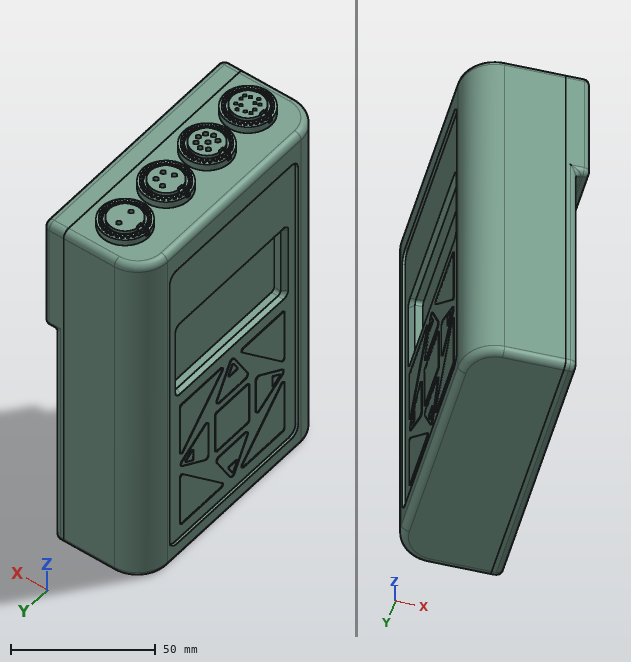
import cadquery as cq
import math


case_width = 101.2
case_height = 153.5
split_x = 35.1
front_corner_radius = 13.1
end_fillet = 2.8

grip_back_x = 39.2
head_back_x = 44.0
step_z = 103.0
step_inner_radius = 1.7
head_fillet = 2.4
grip_fillet = 2.5

panel_gap = 0.3
pocket_width = 72.0
pocket_bottom_z = 7.5
pocket_top_z = 142.1
pocket_corner_radius = 4.0
panel_recess = 1.0
panel_thickness = 7.1
pocket_height = pocket_top_z - pocket_bottom_z
pocket_center_z = (pocket_top_z + pocket_bottom_z) / 2
pocket_depth = panel_recess + panel_thickness

window_width = 59.5
window_height = 32.6
window_center_z = 95.7
window_corner_radius = 1.4
window_depth = 4.7
window_bevel_depth = 1.9
window_bevel_side = 1.9
window_bevel_end = 1.1

keypad_center_z = 43.3
button_raise = 0.3
square_size = 19.0
square_radius = 1.0
corner_reach = 29.3
corner_leg = 25.4
corner_radius = 1.0
arrow_base = 13.2
arrow_half_width = 9.8
arrow_length = 17.0
arrow_radius = 1.4
mark_base = 22.2
mark_half_width = 2.8
mark_length = 4.9
mark_radius = 0.5
quarter_turns = [0, 90, 180, 270]

connector_x = 20.8
connector_pitch = 23.0
flange_radius = 10.1
flange_height = 3.0
rim_radius = 9.1
rim_height = 3.6
rim_inner_radius = 7.9
groove_depth = 1.0
insert_radius = 6.8
insert_height = 4.1
key_width = 2.2
key_depth = 0.8
tooth_count = 28
tooth_gap_width = 1.0
tooth_gap_depth = 0.8
mark_notch_width = 1.7
mark_notch_depth = 0.5
mark_notch_height = 1.3
contact_depth = 2.4
low_connector_drop = 0.3


def polar_points(radius, angles):
    """Points on a circle, with angles in degrees from +X."""
    return [(radius * math.cos(math.radians(a)), radius * math.sin(math.radians(a))) for a in angles]


def opposite_pairs(points):
    """The points together with their mirror images through the origin."""
    return points + [(-x, -y) for x, y in points]


connectors = [
    (polar_points(3.5, [90, -90]), 1.0, low_connector_drop),
    (polar_points(3.5, [108, 36, -36, -108]), 1.0, 0),
    ([(-0.5, 0)] + polar_points(3.8, range(-135, 136, 45)), 1.0, 0),
    (
        opposite_pairs([(-3.5, 2.7), (-1.4, 3.3), (1.4, 4.3), (3.5, 2.4), (1.5, 1.9), (3.5, -0.6)]),
        0.6,
        0,
    ),
]


def facing_front(x):
    """Workplane at the given X, drawn in (-Y, Z) as seen from the front, with its normal toward -X."""
    return cq.Workplane(cq.Plane(origin=(x, 0, 0), xDir=(0, -1, 0), normal=(-1, 0, 0)))


def rounded_block(face_x, depth, width, height, center_z, radius):
    """Block with rounded corners that goes back from face_x."""
    block = facing_front(face_x).center(0, center_z).rect(width, height).extrude(-depth)
    return block.edges("|X").fillet(radius)


def make_housing():
    housing = cq.Workplane().box(split_x, case_width, case_height, centered=(False, True, False))
    housing = housing.edges("|Z and <X").fillet(front_corner_radius)
    ends = housing.faces("<Z or >Z").edges("not >X")
    housing = ends.fillet(end_fillet)
    pocket = rounded_block(
        0, pocket_depth, pocket_width, pocket_height, pocket_center_z, pocket_corner_radius
    )
    return housing.cut(pocket)


def cover_block(back_x, bottom_z):
    """Plain block from the split plane to back_x, and from bottom_z to the top of the case."""
    block = cq.Workplane().box(
        back_x - split_x, case_width, case_height - bottom_z, centered=(False, True, False)
    )
    return block.translate((split_x, 0, bottom_z))


def make_cover():
    grip = cover_block(grip_back_x, 0)
    grip = grip.edges("|X").fillet(end_fillet)
    grip = grip.faces(">X").edges().fillet(grip_fillet)

    head = cover_block(head_back_x, step_z)
    head = head.edges("|X and >Z").fillet(end_fillet)
    head = head.edges("|X and <Z").fillet(head_fillet)
    head = head.faces(">X").edges().fillet(head_fillet)

    cover = grip.union(head)
    inner_corner = cq.selectors.NearestToPointSelector((grip_back_x, 0, step_z))
    return cover.edges(inner_corner).fillet(step_inner_radius)


def make_window():
    """Display recess: a bevelled rim above straight walls."""
    straight = rounded_block(
        panel_recess, window_depth, window_width, window_height, window_center_z, window_corner_radius
    )
    outer_width = window_width + 2 * window_bevel_side
    outer_height = window_height + 2 * window_bevel_end
    outer_radius = window_corner_radius + window_bevel_end
    outer = cq.Sketch().rect(outer_width, outer_height).vertices().fillet(outer_radius)
    inner = cq.Sketch().rect(window_width, window_height).vertices().fillet(window_corner_radius)
    bevel = (
        facing_front(panel_recess)
        .center(0, window_center_z)
        .placeSketch(outer, inner.moved(cq.Location(cq.Vector(0, 0, -window_bevel_depth))))
        .loft()
    )
    return straight.union(bevel)


def raised_shape(points, radius, angle, height):
    """Rounded polygon about the keypad center, turned by angle and raised from the panel face."""
    shape = (
        facing_front(panel_recess)
        .center(0, keypad_center_z)
        .transformed(rotate=(0, 0, angle))
        .polyline(points)
        .close()
        .extrude(height)
    )
    return shape.edges("|X").fillet(radius)


def arrow_points(base, half_width, length):
    """Triangle pointing up, away from the keypad center."""
    return [(-half_width, base), (half_width, base), (0, base + length)]


def make_panel():
    panel = rounded_block(
        panel_recess,
        panel_thickness,
        pocket_width - 2 * panel_gap,
        pocket_height - 2 * panel_gap,
        pocket_center_z,
        pocket_corner_radius - panel_gap,
    )
    panel = panel.cut(make_window())

    half_square = square_size / 2
    square = [
        (-half_square, -half_square),
        (half_square, -half_square),
        (half_square, half_square),
        (-half_square, half_square),
    ]
    panel = panel.union(raised_shape(square, square_radius, 0, button_raise))

    leg_end = corner_reach - corner_leg
    corner = [(corner_reach, corner_reach), (leg_end, corner_reach), (corner_reach, leg_end)]
    arrow = arrow_points(arrow_base, arrow_half_width, arrow_length)
    arrow_mark = arrow_points(mark_base, mark_half_width, mark_length)
    for angle in quarter_turns:
        panel = panel.union(raised_shape(corner, corner_radius, angle, button_raise))
        panel = panel.union(raised_shape(arrow, arrow_radius, angle, button_raise))
        panel = panel.union(raised_shape(arrow_mark, mark_radius, angle, 2 * button_raise))
    return panel


def make_connector(contacts, contact_radius, drop):
    """Connector standing on Z = 0 around the Z axis, with its key toward -X."""
    rim_top = rim_height - drop
    flange_top = flange_height - drop
    insert_top = insert_height - drop
    groove_floor = rim_top - groove_depth

    profile = [
        (0, 0),
        (flange_radius, 0),
        (flange_radius, flange_top),
        (rim_radius, flange_top),
        (rim_radius, rim_top),
        (rim_inner_radius, rim_top),
        (rim_inner_radius, groove_floor),
        (insert_radius, groove_floor),
        (insert_radius, insert_top),
        (0, insert_top),
    ]
    connector = cq.Workplane("XZ").polyline(profile).close().revolve(360, (0, 0, 0), (0, 1, 0))

    key = (
        cq.Workplane(origin=(-insert_radius, 0, groove_floor))
        .rect(2 * key_depth, key_width)
        .extrude(insert_height)
    )
    key = key.intersect(cq.Workplane().circle(rim_inner_radius).extrude(insert_height))
    connector = connector.cut(key)

    tooth_gaps = (
        cq.Workplane(origin=(0, 0, flange_top))
        .polarArray(rim_radius, 0, 360, tooth_count)
        .rect(2 * tooth_gap_depth, tooth_gap_width)
        .extrude(insert_height)
    )
    connector = connector.cut(tooth_gaps)

    notch = (
        cq.Workplane(origin=(-flange_radius, 0, flange_top - mark_notch_height))
        .rect(2 * mark_notch_depth, mark_notch_width)
        .extrude(insert_height)
    )
    connector = connector.cut(notch)

    holes = (
        cq.Workplane(origin=(0, 0, insert_top))
        .pushPoints(contacts)
        .circle(contact_radius)
        .extrude(-contact_depth)
    )
    return connector.cut(holes)


housing = make_housing()
cover = make_cover()
panel = make_panel()

connector_solids = []
for index, (contacts, contact_radius, drop) in enumerate(connectors):
    connector_y = connector_pitch * ((len(connectors) - 1) / 2 - index)
    connector = make_connector(contacts, contact_radius, drop)
    connector = connector.translate((connector_x, connector_y, case_height))
    connector_solids.append(connector.val())

result = cq.Compound.makeCompound([housing.val(), cover.val(), panel.val(), *connector_solids])